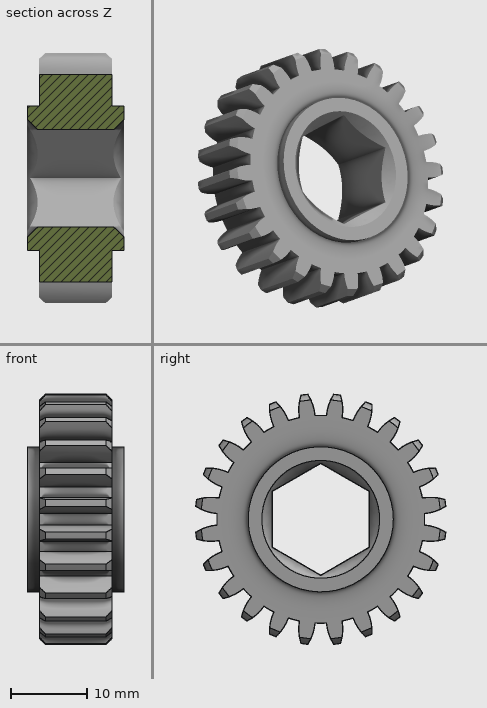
import cadquery as cq
import math

teeth = 24
dedendum_factor = 1.25
pitch_radius = 15.25
module = 2 * pitch_radius / teeth
tip_radius = pitch_radius + module
root_radius = pitch_radius - dedendum_factor * module
tooth_pitch = 360 / teeth

root_half_angle = math.radians(4.4)
pitch_half_angle = math.radians(3.4)
tip_half_angle = math.radians(1.6)

gear_width = 9.52
total_length = 12.7

hub_diameter = 19.05
hex_across_flats = 12.7
bore_mouth_diameter = 15.47
bore_mouth_angle = math.radians(45)
tooth_chamfer = 0.8


def polar(radius, angle):
    """Point in the YZ plane at an angle measured from +Z towards +Y."""
    return (radius * math.sin(angle), radius * math.cos(angle))


def make_tooth():
    """One straight tooth centred on +Z, reaching below the root circle to join the body.

    Each flank is a single arc through its points on the root, pitch and tip circles.
    """
    foot_radius = root_radius - module
    return (
        cq.Workplane("YZ", origin=(-gear_width / 2, 0, 0))
        .moveTo(*polar(foot_radius, -root_half_angle))
        .lineTo(*polar(root_radius, -root_half_angle))
        .threePointArc(polar(pitch_radius, -pitch_half_angle), polar(tip_radius, -tip_half_angle))
        .threePointArc((0, tip_radius), polar(tip_radius, tip_half_angle))
        .threePointArc(polar(pitch_radius, pitch_half_angle), polar(root_radius, root_half_angle))
        .lineTo(*polar(foot_radius, root_half_angle))
        .close()
        .extrude(gear_width)
    )


def disc(radius, length):
    return cq.Workplane("YZ").circle(radius).extrude(length / 2, both=True)


def make_gear():
    """Root disc with a ring of teeth whose tips are bevelled at both end faces."""
    gear = disc(root_radius, gear_width)
    tooth = make_tooth().intersect(disc(tip_radius, gear_width).edges().chamfer(tooth_chamfer))
    for i in range(teeth):
        gear = gear.union(tooth.rotate((0, 0, 0), (1, 0, 0), (i + 0.5) * tooth_pitch))
    return gear


def make_bore():
    """Hexagonal through hole, corners on +Z and -Z, with a conical lead-in at each end."""
    corner_radius = hex_across_flats / 2 / math.cos(math.pi / 6)
    corners = [polar(corner_radius, i * math.pi / 3) for i in range(6)]
    bore = cq.Workplane("YZ").polyline(corners).close().extrude(total_length / 2, both=True)
    mouth_radius = bore_mouth_diameter / 2
    cone_depth = mouth_radius / math.tan(bore_mouth_angle)
    cone = cq.Solid.makeCone(
        mouth_radius, 0, cone_depth, cq.Vector(-total_length / 2, 0, 0), cq.Vector(1, 0, 0)
    )
    lead_in = cq.Workplane(cone)
    return bore.union(lead_in).union(lead_in.mirror("YZ"))


result = make_gear().union(disc(hub_diameter / 2, total_length)).cut(make_bore())